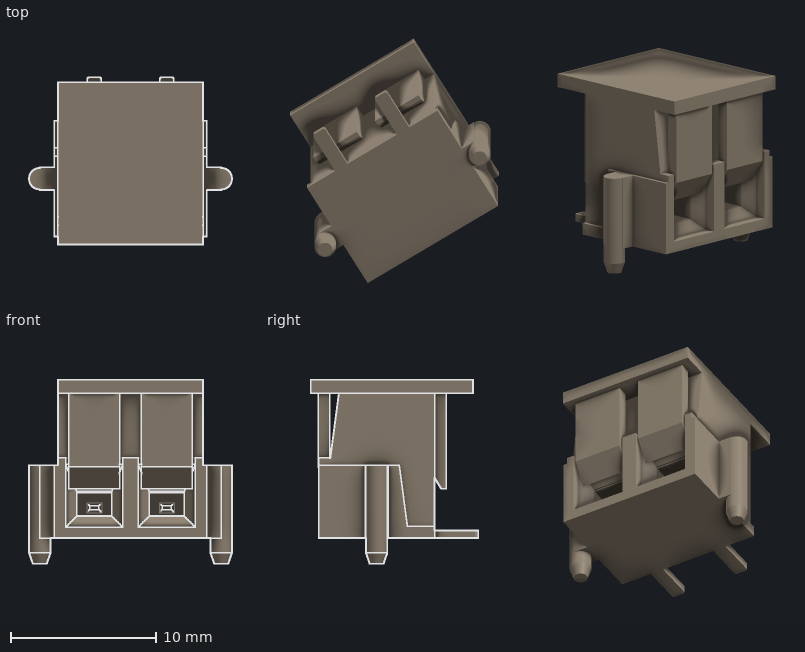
import cadquery as cq
import math


BODY_WIDTH = 10.0
BODY_DEPTH = 8.0
BODY_HEIGHT = 9.97
SHELF_HEIGHT = 5.53
SHELF_DEPTH = 0.8
SLANT_TOP_DEPTH = 1.39
SKIRT_WIDTH = 10.54
SKIRT_HEIGHT = 5.04
SKIRT_HEEL_HEIGHT = 0.81
SKIRT_TOP_END = 5.56
SKIRT_HEEL_START = 6.12

TOTAL_WIDTH = 14.0
PEG_DIAMETER = 1.5
PEG_TIP_DIAMETER = 0.97
PEG_LENGTH = 1.78
PEG_CONE_LENGTH = 0.77
RIB_THICKNESS = 1.58
PEG_X = (TOTAL_WIDTH - PEG_DIAMETER) / 2
PEG_Y = BODY_DEPTH / 2

PITCH = 5.0
POLE_X = (-PITCH / 2, PITCH / 2)
ENTRY_WIDTH = 3.95
ENTRY_FLOOR = 0.75
FUNNEL_TOP = 5.08
FUNNEL_LENGTH = 0.71
THROAT_WIDTH = 2.44
THROAT_FLOOR = 1.5
THROAT_TOP = 3.25
THROAT_LENGTH = 0.08
FUNNEL_END = SHELF_DEPTH + FUNNEL_LENGTH

CAGE_OPENING_WIDTH = 2.38
CAGE_OPENING_FLOOR = 1.53
CAGE_OPENING_TOP = 3.14
CAGE_WALL = 0.42
CAGE_LENGTH = 3.92
CAGE_FRONT = FUNNEL_END + THROAT_LENGTH
CAGE_BACK = CAGE_FRONT + CAGE_LENGTH
CAGE_WIDTH = CAGE_OPENING_WIDTH + 2 * CAGE_WALL
CAGE_FLOOR = CAGE_OPENING_FLOOR - CAGE_WALL
CAGE_TOP = CAGE_OPENING_TOP + CAGE_WALL

PLATE_THICKNESS = 0.7
TAIL_WIDTH = 0.98
TAIL_THICKNESS = 0.53
TAIL_END = 11.0
TAIL_CORNER_RADIUS = 0.17
SLOT_WIDTH = 0.65
SLOT_HEIGHT = 0.27
SLOT_CENTER_Z = 2.1
SLOT_DEPTH = 0.35
SLOT_FLARE = 0.21
SLOT_LIP_RADIUS = 0.5

CAP_FRONT = -0.55
CAP_DEPTH = 11.2
CAP_THICKNESS = 0.95
TONGUE_WIDTH = 3.51
TONGUE_THICKNESS = 0.81
TONGUE_BOTTOM = 3.4
FRONT_TONGUE_Y = -0.04
FRONT_BEVEL_TOP = 4.91
FRONT_TOE_Y = 0.98
REAR_BEVEL_TOP = 4.15
REAR_TIP_THICKNESS = 0.36


def box(width, y_start, y_end, z_start, z_end, center_x=0):
    """Block centred on center_x, between the given y and z limits."""
    return (
        cq.Workplane("XY", origin=(center_x, (y_start + y_end) / 2, z_start))
        .box(width, y_end - y_start, z_end - z_start, centered=(True, True, False))
    )


def side_profile(points, width, center_x=0):
    """Extrude a (y, z) outline along x, centred on center_x."""
    return (
        cq.Workplane("YZ", origin=(center_x, 0, 0))
        .polyline(points)
        .close()
        .extrude(width / 2, both=True)
    )


def make_shell():
    core = side_profile(
        [
            (0, 0),
            (BODY_DEPTH, 0),
            (BODY_DEPTH, BODY_HEIGHT),
            (SLANT_TOP_DEPTH, BODY_HEIGHT),
            (SHELF_DEPTH, SHELF_HEIGHT),
            (0, SHELF_HEIGHT),
        ],
        BODY_WIDTH,
    )
    skirt = side_profile(
        [
            (0, 0),
            (BODY_DEPTH, 0),
            (BODY_DEPTH, SKIRT_HEEL_HEIGHT),
            (SKIRT_HEEL_START, SKIRT_HEEL_HEIGHT),
            (SKIRT_TOP_END, SKIRT_HEIGHT),
            (0, SKIRT_HEIGHT),
        ],
        SKIRT_WIDTH,
    )
    return core.union(skirt)


def make_peg(center_x):
    cone_top = PEG_CONE_LENGTH - PEG_LENGTH
    return (
        cq.Workplane("XZ", origin=(center_x, PEG_Y, 0))
        .polyline(
            [
                (0, -PEG_LENGTH),
                (PEG_TIP_DIAMETER / 2, -PEG_LENGTH),
                (PEG_DIAMETER / 2, cone_top),
                (PEG_DIAMETER / 2, SKIRT_HEIGHT),
                (0, SKIRT_HEIGHT),
            ]
        )
        .close()
        .revolve(360, (0, 0, 0), (0, 1, 0))
    )


def make_peg_ribs():
    """One bar through the housing that carries both pegs."""
    return box(2 * PEG_X, PEG_Y - RIB_THICKNESS / 2, PEG_Y + RIB_THICKNESS / 2, 0, SKIRT_HEIGHT)


def make_entry(center_x):
    """Open-topped front slot, funnel and throat of one wire entry."""
    slot = box(ENTRY_WIDTH, 0, SHELF_DEPTH, ENTRY_FLOOR, SHELF_HEIGHT, center_x)
    throat_rise = (THROAT_FLOOR + THROAT_TOP - ENTRY_FLOOR - FUNNEL_TOP) / 2
    funnel = (
        cq.Workplane("XZ", origin=(center_x, SHELF_DEPTH, (ENTRY_FLOOR + FUNNEL_TOP) / 2))
        .rect(ENTRY_WIDTH, FUNNEL_TOP - ENTRY_FLOOR)
        .workplane(offset=-FUNNEL_LENGTH)
        .center(0, throat_rise)
        .rect(THROAT_WIDTH, THROAT_TOP - THROAT_FLOOR)
        .loft(ruled=True)
    )
    throat = box(THROAT_WIDTH, FUNNEL_END, CAGE_FRONT, THROAT_FLOOR, THROAT_TOP, center_x)
    return slot.union(funnel).union(throat)


def make_cage_block(center_x):
    return box(CAGE_WIDTH, CAGE_FRONT, CAGE_BACK, CAGE_FLOOR, CAGE_TOP, center_x)


def make_cage(center_x):
    opening = box(
        CAGE_OPENING_WIDTH, CAGE_FRONT, CAGE_BACK, CAGE_OPENING_FLOOR, CAGE_OPENING_TOP, center_x
    )
    return make_cage_block(center_x).cut(opening)


def make_terminal_blank(center_x):
    plate = box(CAGE_WIDTH, CAGE_BACK, CAGE_BACK + PLATE_THICKNESS, 0, CAGE_TOP, center_x)
    tail = (
        box(TAIL_WIDTH, CAGE_BACK, TAIL_END, 0, TAIL_THICKNESS, center_x)
        .edges("|Z and >Y")
        .fillet(TAIL_CORNER_RADIUS)
    )
    return plate.union(tail)


def make_flared_slot(plane, origin, half_width):
    """Blind slot with rounded lips at its mouth; y of the plane runs into the plate."""
    flare_angle = math.asin(SLOT_FLARE / SLOT_LIP_RADIUS)

    def lip_point(angle, side):
        across = half_width + SLOT_FLARE - SLOT_LIP_RADIUS * math.sin(angle)
        inward = SLOT_LIP_RADIUS * (1 - math.cos(angle))
        return (side * across, inward)

    return (
        cq.Workplane(plane, origin=origin)
        .moveTo(*lip_point(0, -1))
        .lineTo(*lip_point(0, 1))
        .threePointArc(lip_point(flare_angle / 2, 1), lip_point(flare_angle, 1))
        .lineTo(half_width, SLOT_DEPTH)
        .lineTo(-half_width, SLOT_DEPTH)
        .lineTo(*lip_point(flare_angle, -1))
        .threePointArc(lip_point(flare_angle / 2, -1), lip_point(0, -1))
        .close()
        .extrude(SLOT_WIDTH, both=True)
    )


def make_terminal(center_x):
    """Terminal with a blind slot facing the wire entry, its mouth rounded on all four sides."""
    slot_mouth = (center_x, CAGE_BACK, SLOT_CENTER_Z)
    across_x = make_flared_slot("XY", slot_mouth, SLOT_WIDTH / 2)
    across_z = make_flared_slot("ZY", slot_mouth, SLOT_HEIGHT / 2)
    return make_terminal_blank(center_x).cut(across_x.intersect(across_z))


def make_housing():
    housing = make_shell().union(make_peg_ribs())
    for peg_x in (-PEG_X, PEG_X):
        housing = housing.union(make_peg(peg_x))
    for pole_x in POLE_X:
        housing = housing.cut(make_entry(pole_x))
        housing = housing.cut(make_cage_block(pole_x))
        housing = housing.cut(make_terminal_blank(pole_x))
    return housing


def make_front_tongue(center_x):
    back = FRONT_TONGUE_Y + TONGUE_THICKNESS
    return side_profile(
        [
            (FRONT_TONGUE_Y, BODY_HEIGHT),
            (FRONT_TONGUE_Y, FRONT_BEVEL_TOP),
            (FRONT_TOE_Y, TONGUE_BOTTOM),
            (back, FRONT_BEVEL_TOP),
            (back, BODY_HEIGHT),
        ],
        TONGUE_WIDTH,
        center_x,
    )


def make_rear_tongue(center_x):
    back = BODY_DEPTH + TONGUE_THICKNESS
    return side_profile(
        [
            (BODY_DEPTH, BODY_HEIGHT),
            (BODY_DEPTH, REAR_BEVEL_TOP),
            (back - REAR_TIP_THICKNESS, TONGUE_BOTTOM),
            (back, TONGUE_BOTTOM),
            (back, BODY_HEIGHT),
        ],
        TONGUE_WIDTH,
        center_x,
    )


def make_cap():
    cap = box(
        BODY_WIDTH, CAP_FRONT, CAP_FRONT + CAP_DEPTH, BODY_HEIGHT, BODY_HEIGHT + CAP_THICKNESS
    )
    for pole_x in POLE_X:
        cap = cap.union(make_front_tongue(pole_x)).union(make_rear_tongue(pole_x))
    return cap


housing = make_housing()
cap = make_cap()
cages = [make_cage(pole_x) for pole_x in POLE_X]
terminals = [make_terminal(pole_x) for pole_x in POLE_X]

result = cq.Compound.makeCompound(
    [
        housing.val(),
        cap.val(),
        *[cage.val() for cage in cages],
        *[terminal.val() for terminal in terminals],
    ]
)